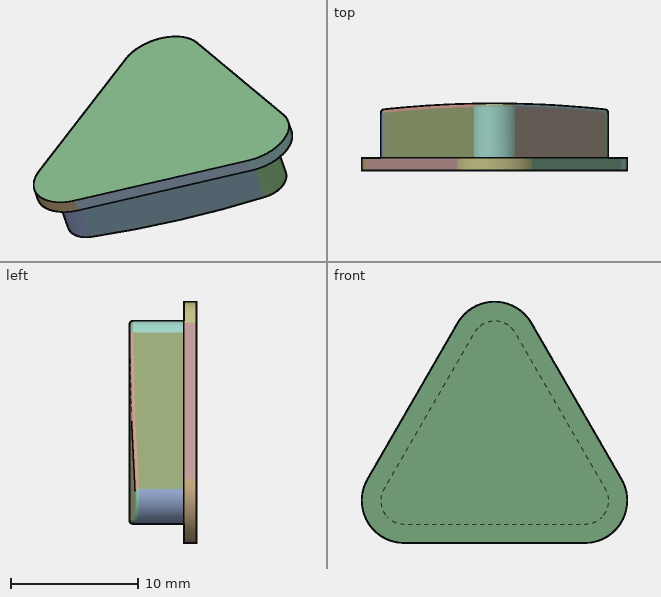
import cadquery as cq
import math

corner_spacing = 14.2
boss_corner_radius = 1.85
flange_overhang = 1.5
flange_thickness = 1.0
total_depth = 5.3
crown_radius = 80.0
crown_edge_fillet = 0.3

flange_corner_radius = boss_corner_radius + flange_overhang
triangle_height = corner_spacing * math.sqrt(3) / 2


def rounded_triangle(corner_radius, start_y, end_y):
    """Prism along Y with an apex-up equilateral outline and rounded corners."""
    centroid_z = triangle_height / 3
    scale = 1 + corner_radius / centroid_z
    half_side = corner_spacing / 2 * scale
    bottom_z = centroid_z - centroid_z * scale
    apex_z = centroid_z + 2 * centroid_z * scale
    return (
        cq.Workplane("XZ", origin=(0, start_y, 0))
        .polyline([(-half_side, bottom_z), (half_side, bottom_z), (0, apex_z)])
        .close()
        .extrude(start_y - end_y)
        .edges("|Y")
        .fillet(corner_radius)
    )


def make_crown_cylinder():
    """Large cylinder whose surface forms the crowned end of the boss."""
    margin = 1.0
    bottom_z = -boss_corner_radius - margin
    length = triangle_height + 2 * (boss_corner_radius + margin)
    return (
        cq.Workplane("XY", origin=(0, total_depth - crown_radius, bottom_z))
        .circle(crown_radius)
        .extrude(length)
    )


def make_boss():
    """Crowned boss with a small fillet round its crown edge."""
    prism = rounded_triangle(boss_corner_radius, 0, total_depth)
    crowned = prism.intersect(make_crown_cylinder())
    return crowned.faces(">Y").edges().fillet(crown_edge_fillet)


flange = rounded_triangle(flange_corner_radius, 0, flange_thickness)
result = flange.union(make_boss())